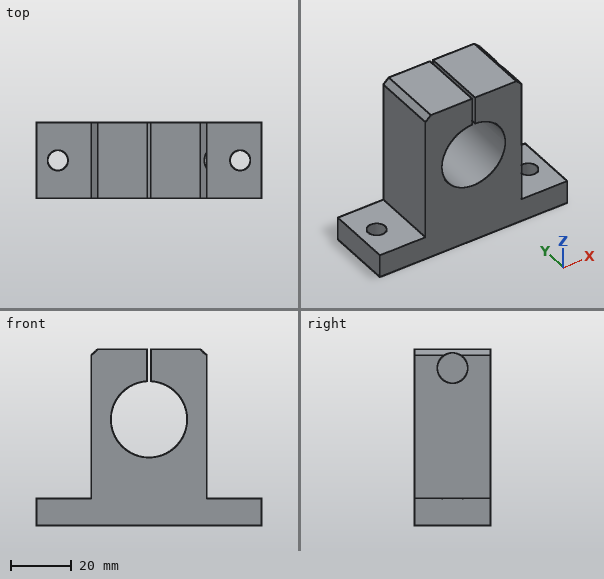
import cadquery as cq

base_length = 74.0
depth = 25.0
height = 58.0
base_thickness = 8.95

post_width = 38.0
chamfer_run = 2.15
chamfer_drop = 2.0
bore_diameter = 25.0
bore_height = 34.9
slit_width = 1.2

mount_hole_diameter = 6.6
mount_hole_spacing = 59.95
clamp_recess_diameter = 10.0
clamp_recess_depth = 6.0
clamp_recess_height = 51.8


def make_body():
    """Inverted-T outline with chamfered shoulders, extruded about the XZ plane."""
    base_half = base_length / 2
    post_half = post_width / 2
    top_half = post_half - chamfer_run
    outline = [
        (-base_half, 0),
        (base_half, 0),
        (base_half, base_thickness),
        (post_half, base_thickness),
        (post_half, height - chamfer_drop),
        (top_half, height),
        (-top_half, height),
        (-post_half, height - chamfer_drop),
        (-post_half, base_thickness),
        (-base_half, base_thickness),
    ]
    return cq.Workplane("XZ").polyline(outline).close().extrude(depth / 2, both=True)


def make_shaft_bore():
    """Shaft bore running the full depth along Y."""
    return (
        cq.Workplane("XZ")
        .center(0, bore_height)
        .circle(bore_diameter / 2)
        .extrude(depth, both=True)
    )


def make_slit():
    """Clamping slit from the bore centre up through the top."""
    return cq.Workplane("XY", origin=(0, 0, bore_height)).rect(slit_width, depth).extrude(height - bore_height)


def make_mount_holes():
    """Vertical through holes, one in each foot."""
    hole_offset = mount_hole_spacing / 2
    return (
        cq.Workplane("XY")
        .pushPoints([(-hole_offset, 0), (hole_offset, 0)])
        .circle(mount_hole_diameter / 2)
        .extrude(base_thickness)
    )


def make_clamp_recess():
    """Blind recess for the clamp screw head in the +X side; it cuts into the chamfer."""
    return (
        cq.Workplane("YZ", origin=(post_width / 2, 0, clamp_recess_height))
        .circle(clamp_recess_diameter / 2)
        .extrude(-clamp_recess_depth)
    )


result = (
    make_body()
    .cut(make_shaft_bore())
    .cut(make_slit())
    .cut(make_mount_holes())
    .cut(make_clamp_recess())
)